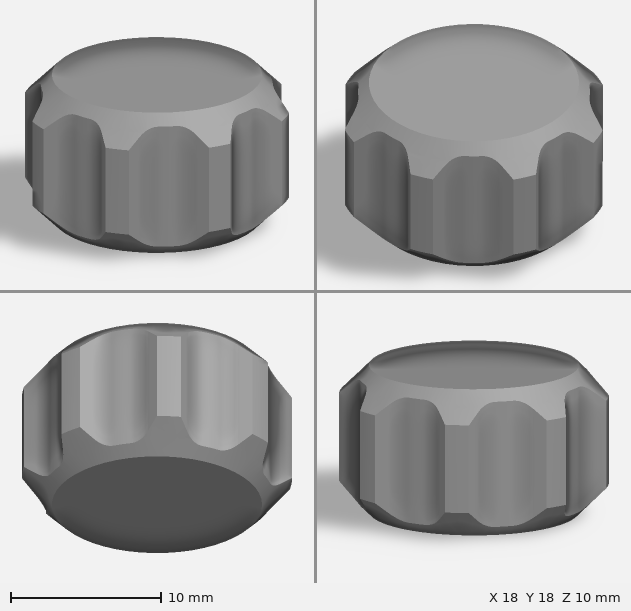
import cadquery as cq
import math

outer_radius = 9.0
height = 10.0
chamfer = 2.0

tooth_count = 8
tooth_turn = 0.3
tip_half_width = 0.81
flank_angle = 33.0
valley_radius = 7.72
valley_fillet = 2.0
crest_overshoot = 0.18
root_overlap = 0.9
root_search_margin = 0.09


def make_tooth(angle):
    """Tapered tooth from inside the core to beyond the outer cylinder."""
    tip_radius = math.sqrt(outer_radius**2 - tip_half_width**2)
    root_radius = valley_radius - root_overlap
    crest_radius = outer_radius + crest_overshoot
    taper = math.tan(math.radians(flank_angle))
    root_half_width = tip_half_width + (tip_radius - root_radius) * taper
    crest_half_width = tip_half_width - (crest_radius - tip_radius) * taper
    outline = [
        (root_radius, -root_half_width),
        (crest_radius, -crest_half_width),
        (crest_radius, crest_half_width),
        (root_radius, root_half_width),
    ]
    tooth = cq.Workplane("XY").polyline(outline).close().extrude(height)
    return tooth.rotate((0, 0, 0), (0, 0, 1), angle)


def make_toothed_body():
    """Core with teeth, rounded where each flank meets the valley floor."""
    body = cq.Workplane("XY").circle(valley_radius).extrude(height)
    for index in range(tooth_count):
        body = body.union(make_tooth(tooth_turn + index * 360 / tooth_count))
    select_radius = valley_radius + root_search_margin
    roots = body.edges("|Z").filter(
        lambda edge: math.hypot(edge.Center().x, edge.Center().y) < select_radius
    )
    return roots.fillet(valley_fillet)


blank = cq.Workplane("XY").circle(outer_radius).extrude(height).edges().chamfer(chamfer)
result = make_toothed_body().intersect(blank)